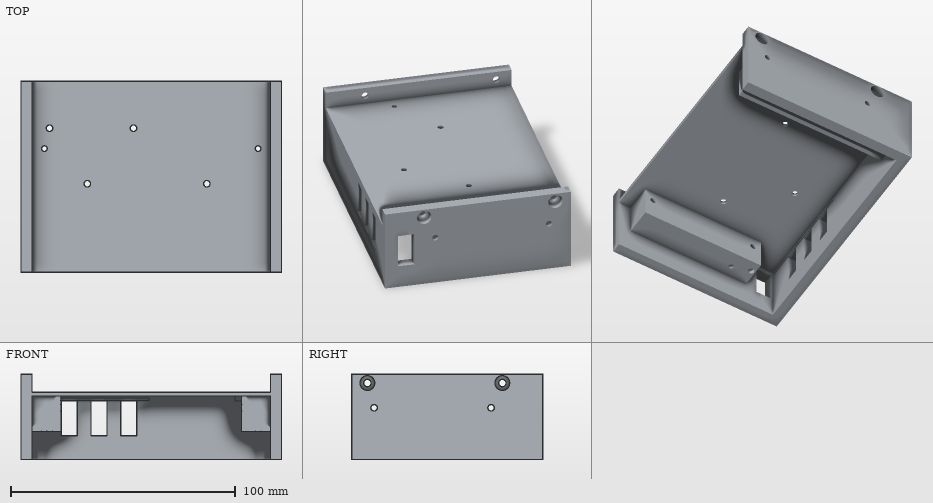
import cadquery as cq

width = 116.0
depth = 85.0
height = 38.0
side_thickness = 5.0
inner_width = width - 2 * side_thickness
inner_half = inner_width / 2

tray_top = 30.0
tray_thickness = 1.8
tray_bottom = tray_top - tray_thickness

wall_thickness = 5.0
wall_front = depth - wall_thickness
port_bottom = 10.6
port_height = 15.5
port_width = 7.0
port_pitch = 13.25
port_count = 3
first_port_left = -40.0

slot_front = 71.6
slot_width = 7.4

recess_depth = 1.0
board_groove_left = -inner_half
board_groove_right = -1.0
board_groove_bottom = 26.3
board_groove_height = 1.0
corner_recess_left = 37.3
corner_recess_bottom = 26.0

block_width = 12.8
block_front = 6.0
left_block_back = 66.0
block_bottom = 12.5

block_screw_diameter = 2.8
block_screw_ys = (10.0, 62.0)
block_screw_z = 23.0

plate_hole_diameter = 3.2
counterbore_diameter = 6.6
counterbore_depth = 3.0
plate_hole_z = 34.0
plate_hole_ys = (7.0, 67.0)

block_hole_diameter = 2.4
block_hole_x = 47.5
block_hole_y = 55.0
tray_hole_diameter = 2.8
rear_hole_xs = (-45.2, -7.9)
rear_hole_y = 64.1
front_hole_xs = (-28.4, 24.7)
front_hole_y = 39.4


def box(x_min, x_max, y_min, y_max, z_min, z_max):
    """Axis-aligned box given by its limits."""
    size = (x_max - x_min, y_max - y_min, z_max - z_min)
    return cq.Workplane("XY").box(*size, centered=False).translate((x_min, y_min, z_min))


def cylinder_x(diameter, x_start, length, y, z):
    """Cylinder along +X starting at x_start."""
    return cq.Workplane("YZ", origin=(x_start, y, z)).circle(diameter / 2).extrude(length)


def cylinder_z(diameter, x, y):
    """Vertical cylinder through the full height."""
    return cq.Workplane("XY", origin=(x, y, 0)).circle(diameter / 2).extrude(height)


def both_sides(shape):
    """A shape together with its mirror image in the YZ plane."""
    return shape.union(shape.mirror("YZ"))


def make_body():
    """Side plates, tray, rear wall and mounting blocks."""
    plate = box(-width / 2, -inner_half, 0, depth, 0, height)
    left_block = box(
        -inner_half, -inner_half + block_width,
        block_front, left_block_back,
        block_bottom, tray_bottom,
    )
    right_block = box(
        inner_half - block_width, inner_half,
        block_front, wall_front,
        block_bottom, tray_bottom,
    )
    tray = box(-inner_half, inner_half, 0, depth, tray_bottom, tray_top)
    wall = box(-inner_half, inner_half, wall_front, depth, 0, tray_bottom)
    return both_sides(plate).union(tray).union(wall).union(left_block).union(right_block)


def cut_ports(body):
    """Port windows in the rear wall and the matching slot in the left plate."""
    port_top = port_bottom + port_height
    for index in range(port_count):
        left = first_port_left + index * port_pitch
        body = body.cut(box(left, left + port_width, wall_front, depth, port_bottom, port_top))
    slot = box(
        -width / 2, -inner_half,
        slot_front, slot_front + slot_width,
        port_bottom, port_top,
    )
    return body.cut(slot)


def cut_wall_recesses(body):
    """Board groove and corner recess beside the right block, in the front face of the rear wall."""
    recess_back = wall_front + recess_depth
    groove = box(
        board_groove_left, board_groove_right,
        wall_front, recess_back,
        board_groove_bottom, board_groove_bottom + board_groove_height,
    )
    corner = box(
        corner_recess_left, inner_half - block_width,
        wall_front, recess_back,
        corner_recess_bottom, tray_bottom,
    )
    return body.cut(groove).cut(corner)


def cut_side_holes(body):
    """Counterbored plate holes and block screw holes, on both sides."""
    for y in plate_hole_ys:
        hole = cylinder_x(plate_hole_diameter, -width / 2, side_thickness, y, plate_hole_z)
        recess = cylinder_x(counterbore_diameter, -width / 2, counterbore_depth, y, plate_hole_z)
        body = body.cut(both_sides(hole.union(recess)))
    screw_length = side_thickness + block_width
    for y in block_screw_ys:
        hole = cylinder_x(block_screw_diameter, -width / 2, screw_length, y, block_screw_z)
        body = body.cut(both_sides(hole))
    return body


def cut_vertical_holes(body):
    """Holes through the tray, the outer pair also passing through the blocks."""
    body = body.cut(both_sides(cylinder_z(block_hole_diameter, -block_hole_x, block_hole_y)))
    for xs, y in ((rear_hole_xs, rear_hole_y), (front_hole_xs, front_hole_y)):
        for x in xs:
            body = body.cut(cylinder_z(tray_hole_diameter, x, y))
    return body


result = make_body()
result = cut_ports(result)
result = cut_wall_recesses(result)
result = cut_side_holes(result)
result = cut_vertical_holes(result)